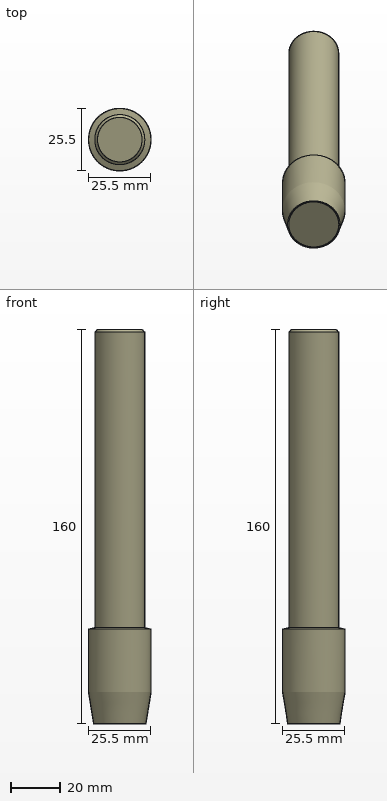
import cadquery as cq

TOTAL_LENGTH = 160.0
SHAFT_DIAMETER = 20.3
SHAFT_RADIUS = SHAFT_DIAMETER / 2
SHAFT_CHAMFER = 1.1

SLEEVE_DIAMETER = 25.5
SLEEVE_RADIUS = SLEEVE_DIAMETER / 2
SLEEVE_TIP_DIAMETER = 21.3
SLEEVE_TIP_RADIUS = SLEEVE_TIP_DIAMETER / 2
TAPER_HEIGHT = 12.8
SHOULDER_HEIGHT = 38.4
SHOULDER_RISE = 0.6


def make_shaft():
    """Round rod, full length, with a chamfered upper end."""
    rod = cq.Workplane("XY").circle(SHAFT_RADIUS).extrude(TOTAL_LENGTH)
    return rod.faces(">Z").chamfer(SHAFT_CHAMFER)


def make_sleeve():
    """Bored collar with a tapered lower end and a shallow conical top face."""
    section = (
        cq.Workplane("XZ")
        .moveTo(SHAFT_RADIUS, 0)
        .lineTo(SLEEVE_TIP_RADIUS, 0)
        .lineTo(SLEEVE_RADIUS, TAPER_HEIGHT)
        .lineTo(SLEEVE_RADIUS, SHOULDER_HEIGHT)
        .lineTo(SHAFT_RADIUS, SHOULDER_HEIGHT + SHOULDER_RISE)
        .close()
    )
    return section.revolve(360, (0, 0, 0), (0, 1, 0))


shaft = make_shaft()
sleeve = make_sleeve()

result = cq.Compound.makeCompound([shaft.val(), sleeve.val()])